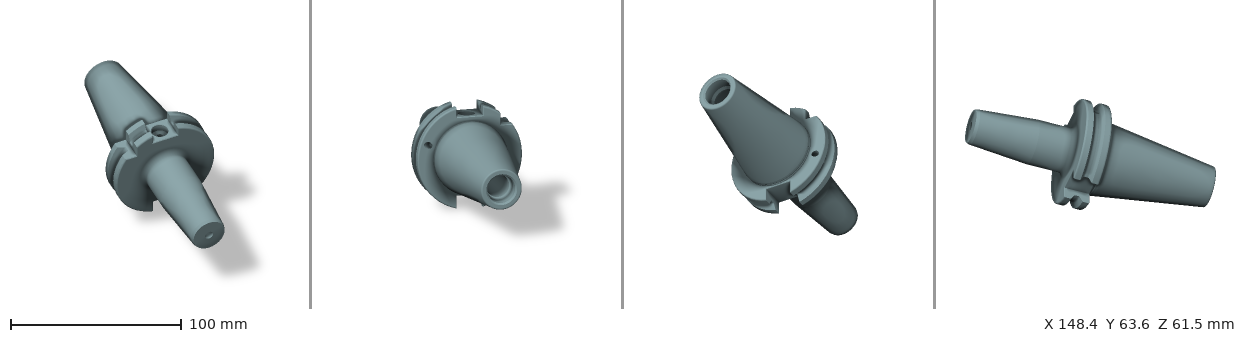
import cadquery as cq
import math


gauge_radius = 44.45 / 2
taper_length = 68.4
taper_slope = 7 / 48
shank_end_radius = gauge_radius - taper_slope * taper_length
shank_end_round = 1.0

relief_start = 1.5
relief_end = 2.7
relief_depth = 0.3

flange_radius = 63.55 / 2
flange_start = 3.2
flange_end = 19.1
flange_edge_round = 1.0
groove_center = 11.1
groove_width = 7.2
groove_floor_radius = 28.1
groove_half_angle = math.radians(30)
groove_floor_round = 1.0

nose_end = 80.0
neck_radius = 27 / 2
nose_end_radius = 21 / 2
nose_angle = math.radians(4.5)
neck_fillet = 3.0
nose_edge_length = 2.0
nose_edge_height = 0.5

entry_radius = 9.4
counterbore_radius = 8.4
counterbore_depth = 8.0
thread_radius = 7.0
bore_floor = 6.0
through_radius = 2.6
drill_half_angle = math.radians(59)

slot_width = 16.1
slot_edge_break = 0.4
break_angle = 45.0
top_slot_height = 25.0
bottom_slot_height = 22.8
notch_side = 18.5
notch_floor = 18.5

pocket_radius = 5.0
pocket_depth = 4.6
pocket_edge_break = 0.3
vent_radius = 1.8

coolant_angle = 20.0
inlet_circle_radius = 27.0
inlet_radius = 2.0
inlet_slope = math.radians(40)
cross_hole_radius = 1.7


def revolve_about_x(profile):
    return profile.close().revolve(360, (0, 0, 0), (1, 0, 0))


def make_shank():
    relief_middle = (relief_start + relief_end) / 2
    profile = (
        cq.Workplane("XY")
        .moveTo(-taper_length, 0)
        .lineTo(-taper_length, shank_end_radius)
        .lineTo(0, gauge_radius)
        .lineTo(relief_start, gauge_radius)
        .lineTo(relief_middle, gauge_radius - relief_depth)
        .lineTo(relief_end, gauge_radius)
        .lineTo(flange_start, gauge_radius)
        .lineTo(flange_start, 0)
    )
    return revolve_about_x(profile).faces("<X").edges().fillet(shank_end_round)


def make_flange():
    thickness = flange_end - flange_start
    disc = cq.Workplane("YZ", origin=(flange_start, 0, 0)).circle(flange_radius).extrude(thickness)
    disc = disc.edges().fillet(flange_edge_round)

    top_half = groove_width / 2
    floor_half = top_half - (flange_radius - groove_floor_radius) * math.tan(groove_half_angle)
    ring = (
        cq.Workplane("XY")
        .moveTo(groove_center - floor_half, groove_floor_radius)
        .lineTo(groove_center - top_half, flange_radius)
        .lineTo(groove_center + top_half, flange_radius)
        .lineTo(groove_center + floor_half, groove_floor_radius)
    )
    groove = revolve_about_x(ring)
    floor_edges = cq.selectors.RadiusNthSelector(0)
    return disc.cut(groove.edges(floor_edges).fillet(groove_floor_round))


def make_nose():
    neck_end = nose_end - (neck_radius - nose_end_radius) / math.tan(nose_angle)
    edge_start = nose_end - nose_edge_length
    edge_radius = nose_end_radius + nose_edge_length * math.tan(nose_angle)
    fillet_start_radius = neck_radius + neck_fillet
    diagonal = neck_fillet * (1 - math.sqrt(0.5))
    profile = (
        cq.Workplane("XY")
        .moveTo(flange_end - flange_edge_round, 0)
        .lineTo(flange_end - flange_edge_round, fillet_start_radius)
        .lineTo(flange_end, fillet_start_radius)
        .threePointArc(
            (flange_end + diagonal, neck_radius + diagonal),
            (flange_end + neck_fillet, neck_radius),
        )
        .lineTo(neck_end, neck_radius)
        .lineTo(edge_start, edge_radius)
        .lineTo(nose_end, nose_end_radius - nose_edge_height)
        .lineTo(nose_end, 0)
    )
    return revolve_about_x(profile)


def make_bore():
    entry_depth = entry_radius - counterbore_radius
    counterbore_end = counterbore_depth - taper_length
    thread_start = counterbore_end + counterbore_radius - thread_radius
    through_start = bore_floor + (thread_radius - through_radius) / math.tan(drill_half_angle)
    profile = (
        cq.Workplane("XY")
        .moveTo(-taper_length, 0)
        .lineTo(-taper_length, entry_radius)
        .lineTo(entry_depth - taper_length, counterbore_radius)
        .lineTo(counterbore_end, counterbore_radius)
        .lineTo(thread_start, thread_radius)
        .lineTo(bore_floor, thread_radius)
        .lineTo(through_start, through_radius)
        .lineTo(nose_end, through_radius)
        .lineTo(nose_end, 0)
    )
    return revolve_about_x(profile)


def make_slot_cutter(y_range, z_range):
    """Block across the whole flange thickness, flared at both ends to break the slot edges."""
    width = y_range[1] - y_range[0]
    height = z_range[1] - z_range[0]
    center_y = (y_range[0] + y_range[1]) / 2
    center_z = (z_range[0] + z_range[1]) / 2
    flare_width = width + 2 * slot_edge_break
    flare_height = height + 2 * slot_edge_break

    start_face = cq.Workplane("YZ", origin=(flange_start, center_y, center_z))
    end_face = cq.Workplane("YZ", origin=(flange_end, center_y, center_z))
    cutter = start_face.rect(width, height).extrude(flange_end - flange_start)
    start_flare = start_face.rect(flare_width, flare_height).extrude(slot_edge_break, taper=break_angle)
    end_flare = end_face.rect(flare_width, flare_height).extrude(-slot_edge_break, taper=break_angle)
    return cutter.union(start_flare).union(end_flare)


def cut_flange_slots(body):
    half = slot_width / 2
    body = body.cut(make_slot_cutter((-half, half), (top_slot_height, flange_radius)))
    body = body.cut(make_slot_cutter((-half, half), (-flange_radius, -bottom_slot_height)))
    return body.cut(make_slot_cutter((-flange_radius, -notch_side), (notch_floor, flange_radius)))


def cut_slot_pocket(body):
    floor = cq.Workplane("XY", origin=(groove_center, 0, top_slot_height))
    body = body.cut(floor.circle(pocket_radius).extrude(-pocket_depth))
    rim_radius = pocket_radius + pocket_edge_break
    body = body.cut(floor.circle(rim_radius).extrude(-pocket_edge_break, taper=break_angle))
    return body.cut(floor.circle(vent_radius).extrude(-top_slot_height))


def cylinder(start, direction, radius, length):
    return cq.Workplane(cq.Solid.makeCylinder(radius, length, cq.Vector(*start), cq.Vector(*direction)))


def make_coolant_channel():
    """Slanted inlet from the flange face that meets a radial hole from the groove to the bore."""
    lead = inlet_radius * math.tan(inlet_slope)
    start = (flange_start - lead, inlet_circle_radius + lead * math.tan(inlet_slope), 0)
    length = (groove_center - start[0]) / math.cos(inlet_slope)
    direction = (math.cos(inlet_slope), -math.sin(inlet_slope), 0)
    inlet = cylinder(start, direction, inlet_radius, length)
    cross_hole = cylinder((groove_center, 0, 0), (0, 1, 0), cross_hole_radius, flange_radius)
    return inlet.union(cross_hole)


def cut_coolant_channels(body):
    for angle in (coolant_angle, coolant_angle + 180):
        body = body.cut(make_coolant_channel().rotate((0, 0, 0), (1, 0, 0), angle))
    return body


result = make_shank().union(make_flange()).union(make_nose())
result = cut_flange_slots(result)
result = result.cut(make_bore())
result = cut_slot_pocket(result)
result = cut_coolant_channels(result)